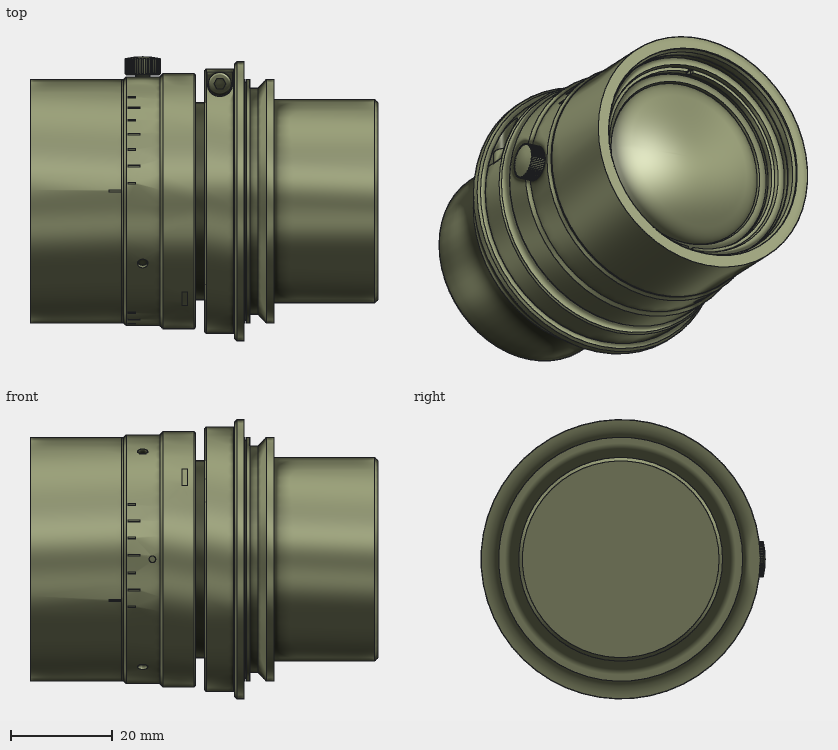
import cadquery as cq
import math

length = 68.4

barrel_r = 24.0
barrel_end = 17.9
mouth_r = 21.6
mouth_depth = 0.4
bore_r = 21.15
bore_start = 0.95
bore_step_x = 2.7
bore_step = 0.15
bore_depth = 3.9
retainer_rim_r = 19.55
retainer_r = 19.3
retainer_depth = 4.7
spanner_r = 18.6
spanner_step_x = 6.1
spanner_step = 0.1
seat_depth = 6.8
seat_r = 17.0
glass_r = 16.75
glass_rim_x = 7.25
glass_bulge = 3.75
spanner_slot_width = 1.1
spanner_slot_depth = 0.95

aperture_r = 24.5
aperture_start = 18.9
aperture_end = 25.45
neck_r = 23.95

focus_r = 25.2
focus_start = 26.1
focus_end = 32.5
edge_bevel = 0.35
gap_r = 19.4

clamp_start = 34.3
clamp_end = 40.15
clamp_r = 26.05
clamp_rear_bevel = 0.2

flange_r = 27.5
flange_end = 42.1
flange_bevel = 0.5
collar_r = 24.0
collar_front_end = 43.15
collar_cut_r = 22.3
cone_start = 44.8
cone_end = 46.45
collar_end = 47.95
collar_slit_start = 42.2
collar_slit_end = 42.5
collar_slit_r = 23.45

tube_r = 20.05
tube_bevel = 0.7

fixture_x = 22.1
grub_hole_d = 2.0
grub_hole_depth = 1.0
grub_angles = (60, -60)
knob_d = 7.0
knob_bottom = 24.8
knob_bevel = 0.35
knob_shoulder = 28.05
knob_top = 28.45
knob_stem_d = 2.8
knob_stem_foot = 23.25
knob_tooth_count = 30
knob_groove_width = 0.35
knob_groove_depth = 0.2

screw_x = 37.3
screw_y = 23.1
screw_head_d = 4.5
screw_head_height = 2.7
screw_head_round = 0.5
screw_socket_across = 2.05
screw_socket_depth = 1.4
screw_pocket_d = 5.0
screw_pocket_floor = 5.6

pin_hole_d = 4.5
pin_hole_depth = 4.1
pin_hole_radius = 23.0
pin_hole_angle = 36.0

mark_depth = 0.15
tick_width = 0.35
short_tick = 1.45
long_tick = 2.3
tick_start = 19.2
tick_pitch = 8.1
tick_count = 7
first_tick_angles = (-22.5, 98.4)
index_start = 15.45
index_angles = (-19.8, 94.9)
dot_d = 1.3
dot_x = 24.0
window_x = 30.4
window_length = 1.0
window_width = 4.2
window_angle = 40.1


def box_between(x_start, x_end, width, r_inner, r_outer, angle):
    """Block lying on a ring, from r_inner to r_outer. Angles start at -Y and turn towards +Z."""
    block = cq.Workplane("XY").box(x_end - x_start, r_outer - r_inner, width)
    block = block.translate(((x_start + x_end) / 2, -(r_inner + r_outer) / 2, 0))
    return block.rotate((0, 0, 0), (1, 0, 0), -angle)


def radial_hole(x, diameter, r_floor, r_outer, angle):
    """Radial cylinder standing on a ring, from r_floor outwards."""
    plug = cq.Workplane("XZ", origin=(x, -r_floor, 0)).circle(diameter / 2).extrude(r_outer - r_floor)
    return plug.rotate((0, 0, 0), (1, 0, 0), -angle)


def dome_midpoint(rim_r, rise):
    """Point halfway out on a spherical dome: its radius and its drop below the top."""
    sphere_r = (rim_r ** 2 + rise ** 2) / (2 * rise)
    mid_r = rim_r / 2
    return mid_r, sphere_r - math.sqrt(sphere_r ** 2 - mid_r ** 2)


def turned_body():
    outline = cq.Workplane("XY").moveTo(glass_rim_x - glass_bulge, 0)
    mid_r, mid_drop = dome_midpoint(glass_r, glass_bulge)
    outline = outline.threePointArc((glass_rim_x - glass_bulge + mid_drop, mid_r), (glass_rim_x, glass_r))
    points = [
        (seat_depth, seat_r),
        (seat_depth, spanner_r - spanner_step),
        (spanner_step_x, spanner_r - spanner_step),
        (spanner_step_x, spanner_r),
        (retainer_depth, spanner_r),
        (retainer_depth, retainer_r),
        (bore_depth, retainer_rim_r),
        (bore_depth, bore_r - bore_step),
        (bore_step_x, bore_r - bore_step),
        (bore_step_x, bore_r),
        (bore_start, bore_r),
        (mouth_depth, mouth_r),
        (0, mouth_r),
        (0, barrel_r),
        (barrel_end, barrel_r),
        (barrel_end, neck_r),
        (barrel_end + edge_bevel, neck_r),
        (aperture_start, aperture_r),
        (aperture_end, aperture_r),
        (focus_start, focus_r),
        (focus_end - edge_bevel, focus_r),
        (focus_end, focus_r - edge_bevel),
        (focus_end, gap_r),
        (clamp_start, gap_r),
        (clamp_start, clamp_r - edge_bevel),
        (clamp_start + edge_bevel, clamp_r),
        (clamp_end - clamp_rear_bevel, clamp_r),
        (clamp_end, clamp_r - clamp_rear_bevel),
        (clamp_end, flange_r - flange_bevel),
        (clamp_end + flange_bevel, flange_r),
        (flange_end, flange_r),
        (flange_end, collar_r),
        (collar_slit_start, collar_r),
        (collar_slit_start, collar_slit_r),
        (collar_slit_end, collar_slit_r),
        (collar_slit_end, collar_r),
        (collar_front_end, collar_r),
        (collar_front_end, collar_cut_r),
        (cone_start, collar_cut_r),
        (cone_end, collar_r),
        (collar_end, collar_r),
        (collar_end, tube_r),
        (length - tube_bevel, tube_r),
        (length, tube_r - tube_bevel),
        (length, 0),
    ]
    for point in points:
        outline = outline.lineTo(*point)
    return outline.close().revolve(360, (0, 0, 0), (1, 0, 0))


def spanner_slots():
    """Slots at the top and bottom of the retaining ring around the glass."""
    slots = cq.Workplane("XY")
    for angle in (90, -90):
        slots = slots.add(
            box_between(
                retainer_depth,
                retainer_depth + spanner_slot_depth,
                spanner_slot_width,
                spanner_r - spanner_step,
                retainer_r,
                angle,
            )
        )
    return slots.combine()


def knob():
    """Knurled, domed thumb screw on the +Y side of the aperture ring."""
    r = knob_d / 2
    mid_r, mid_drop = dome_midpoint(r, knob_top - knob_shoulder)
    head = (
        cq.Workplane("XY")
        .moveTo(0, knob_bottom)
        .lineTo(r - knob_bevel, knob_bottom)
        .lineTo(r, knob_bottom + knob_bevel)
        .lineTo(r, knob_shoulder)
        .threePointArc((mid_r, knob_top - mid_drop), (0, knob_top))
        .close()
        .revolve(360, (0, 0, 0), (0, 1, 0))
    )
    groove = (
        cq.Workplane("XZ", origin=(0, knob_bottom, 0))
        .polarArray(r, 0, 360, knob_tooth_count)
        .rect(2 * knob_groove_depth, knob_groove_width)
        .extrude(knob_bottom - knob_top)
    )
    stem = (
        cq.Workplane("XZ", origin=(0, knob_stem_foot, 0))
        .circle(knob_stem_d / 2)
        .extrude(knob_stem_foot - knob_bottom - knob_bevel)
    )
    return head.cut(groove).union(stem).translate((fixture_x, 0, 0))


def screw_pocket():
    """U-shaped pocket for the clamp screw, open to the outside of the clamp ring."""
    width = screw_pocket_d
    height = clamp_r - screw_pocket_floor
    base = cq.Workplane("XY", origin=(screw_x, screw_y, screw_pocket_floor))
    slot = base.center(0, width / 2).rect(width, width).extrude(height)
    return base.circle(width / 2).extrude(height).union(slot)


def clamp_screw():
    """Socket head resting on the pocket floor."""
    head = (
        cq.Workplane("XY", origin=(screw_x, screw_y, screw_pocket_floor))
        .circle(screw_head_d / 2)
        .extrude(screw_head_height)
        .faces(">Z")
        .edges()
        .fillet(screw_head_round)
    )
    socket_d = screw_socket_across / math.cos(math.pi / 6)
    return head.faces(">Z").workplane().polygon(6, socket_d).cutBlind(-screw_socket_depth)


def pin_hole():
    angle = math.radians(pin_hole_angle)
    y = -pin_hole_radius * math.cos(angle)
    z = pin_hole_radius * math.sin(angle)
    start = cq.Workplane("YZ", origin=(clamp_start, y, z))
    return start.circle(pin_hole_d / 2).extrude(pin_hole_depth)


def engraved_marks():
    """Aperture scale ticks, index lines, dot and focus window."""
    marks = []
    floor = aperture_r - mark_depth
    for first_angle in first_tick_angles:
        for i in range(tick_count):
            tick_length = short_tick if i % 2 == 0 else long_tick
            tick_end = tick_start + tick_length
            tick_angle = first_angle + i * tick_pitch
            marks.append(box_between(tick_start, tick_end, tick_width, floor, focus_r, tick_angle))
    for angle in index_angles:
        marks.append(
            box_between(index_start, barrel_end, tick_width, barrel_r - mark_depth, aperture_r, angle)
        )
    marks.append(radial_hole(dot_x, dot_d, floor, focus_r, 0))
    half_window = window_length / 2
    marks.append(
        box_between(
            window_x - half_window,
            window_x + half_window,
            window_width,
            focus_r - mark_depth,
            clamp_r,
            window_angle,
        )
    )
    return marks


result = turned_body().cut(spanner_slots()).union(knob())
for grub_angle in grub_angles:
    result = result.cut(
        radial_hole(fixture_x, grub_hole_d, aperture_r - grub_hole_depth, focus_r, grub_angle)
    )
result = result.cut(screw_pocket()).union(clamp_screw()).cut(pin_hole())
for mark in engraved_marks():
    result = result.cut(mark)